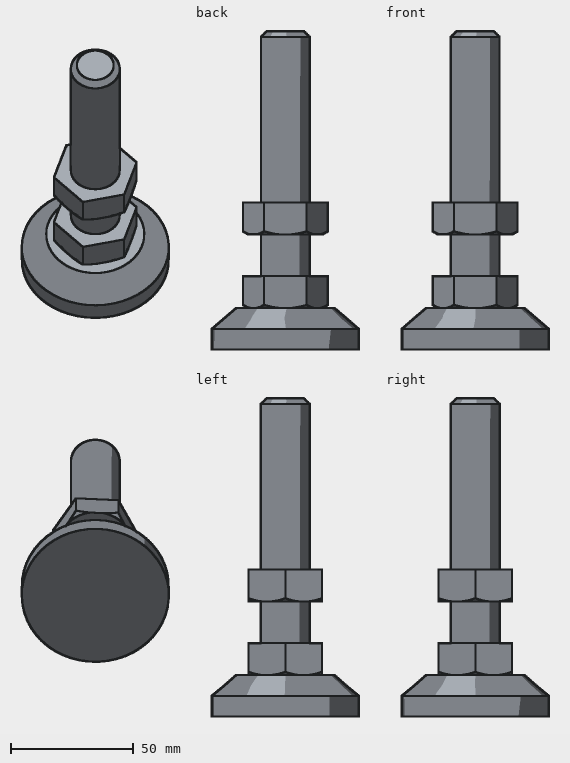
import cadquery as cq
import math

foot_diameter = 60.0
foot_top_diameter = 40.0
foot_rim_height = 8.5
foot_height = 17.0

total_height = 130.0
stud_diameter = 20.0
stud_chamfer = 2.5

hex_across_flats = 30.0
hex_height = 13.0
hex_chamfer_diameter = 30.5
hex_chamfer_angle = 30.0
nut_bottom = 47.0


def hex_block(bottom):
    """Hexagon with corners on X, its lower corners cut by a cone."""
    across_corners = hex_across_flats / math.cos(math.radians(30))
    block = cq.Workplane("XY").polygon(6, across_corners).extrude(hex_height)

    start_radius = hex_chamfer_diameter / 2
    corner_radius = across_corners / 2
    chamfer_height = (corner_radius - start_radius) * math.tan(math.radians(hex_chamfer_angle))
    envelope = (
        cq.Workplane("XZ")
        .moveTo(0, 0)
        .lineTo(start_radius, 0)
        .lineTo(corner_radius, chamfer_height)
        .lineTo(corner_radius, hex_height)
        .lineTo(0, hex_height)
        .close()
        .revolve(360, (0, 0, 0), (0, 1, 0))
    )
    return block.intersect(envelope).translate((0, 0, bottom))


def make_foot():
    """Round foot with a straight rim and a conical top."""
    return (
        cq.Workplane("XZ")
        .moveTo(0, 0)
        .lineTo(foot_diameter / 2, 0)
        .lineTo(foot_diameter / 2, foot_rim_height)
        .lineTo(foot_top_diameter / 2, foot_height)
        .lineTo(0, foot_height)
        .close()
        .revolve(360, (0, 0, 0), (0, 1, 0))
    )


def make_stud():
    """Shank with a chamfered end and a hexagon that stands on the foot."""
    shank = (
        cq.Workplane("XY")
        .workplane(offset=foot_height)
        .circle(stud_diameter / 2)
        .extrude(total_height - foot_height)
        .faces(">Z")
        .chamfer(stud_chamfer)
    )
    return shank.union(hex_block(foot_height))


def make_lock_nut():
    """Hexagon nut whose bore matches the shank."""
    bore = (
        cq.Workplane("XY")
        .workplane(offset=nut_bottom)
        .circle(stud_diameter / 2)
        .extrude(hex_height)
    )
    return hex_block(nut_bottom).cut(bore)


foot = make_foot()
stud = make_stud()
lock_nut = make_lock_nut()

result = cq.Compound.makeCompound([foot.val(), stud.val(), lock_nut.val()])